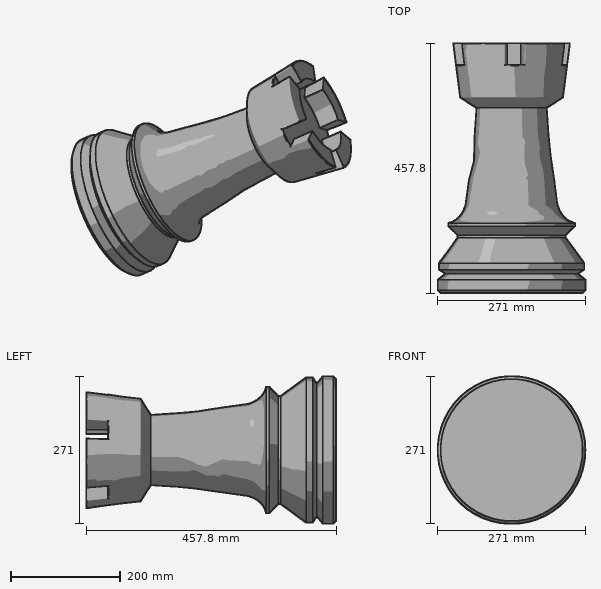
import cadquery as cq
import math

height = 457.8

foot_radius = 135.5
foot_chamfer = 5.5
foot_top = 24.3

groove_radius = 121.8
groove_y = 35.2

ring_radius = 133.0
ring_bottom = 43.0
ring_top = 55.0

waist_radius = 99.5
waist_bottom = 101.0
waist_top = 106.0

collar_radius = 116.5
collar_bottom = 122.5
collar_top = 128.0

flare_radius = 96.0
flare_y = 139.5
shaft_bottom_radius = 88.5
shaft_bottom = 151.0
shaft_low_radius = 80.0
shaft_low_y = 192.3
shaft_mid_radius = 72.5
shaft_mid_y = 247.0
shaft_top_radius = 64.5
shaft_top = 339.0

crown_bottom_radius = 94.5
crown_bottom = 358.0
crown_top_radius = 107.0
edge_round = 1.5

recess_radius = 71.0
recess_depth = 40.0
notch_count = 5
notch_angle = 19.8
first_notch = 86.5
cutter_reach = 137.5


def turned_body():
    shaft_curve = [
        (flare_radius, flare_y),
        (shaft_bottom_radius, shaft_bottom),
        (shaft_low_radius, shaft_low_y),
        (shaft_mid_radius, shaft_mid_y),
        (shaft_top_radius, shaft_top),
    ]
    profile = (
        cq.Workplane("XY")
        .moveTo(0, 0)
        .lineTo(foot_radius - foot_chamfer, 0)
        .lineTo(foot_radius, foot_chamfer)
        .lineTo(foot_radius, foot_top)
        .lineTo(groove_radius, groove_y)
        .lineTo(ring_radius, ring_bottom)
        .lineTo(ring_radius, ring_top)
        .lineTo(waist_radius, waist_bottom)
        .lineTo(waist_radius, waist_top)
        .lineTo(collar_radius, collar_bottom)
        .lineTo(collar_radius, collar_top)
        .spline(shaft_curve, includeCurrent=True)
        .lineTo(crown_bottom_radius, crown_bottom)
        .lineTo(crown_top_radius, height)
        .lineTo(0, height)
        .close()
    )
    return profile.revolve(360, (0, 0, 0), (0, 1, 0))


def top_plane():
    return cq.Workplane("XZ", origin=(0, height, 0))


def recess():
    return top_plane().circle(recess_radius).extrude(recess_depth)


def notch(direction):
    def edge_point(angle):
        turn = math.radians(angle)
        return (cutter_reach * math.cos(turn), cutter_reach * math.sin(turn))

    wedge = [
        (0, 0),
        edge_point(direction - notch_angle / 2),
        edge_point(direction + notch_angle / 2),
    ]
    return top_plane().polyline(wedge).close().extrude(recess_depth)


def is_crown_wall(face):
    return face.BoundingBox().ymax > height - edge_round


result = turned_body().cut(recess())
for index in range(notch_count):
    result = result.cut(notch(first_notch + index * 360 / notch_count))

crown_wall = result.faces("%CONE").filter(is_crown_wall)
result = crown_wall.edges().fillet(edge_round)